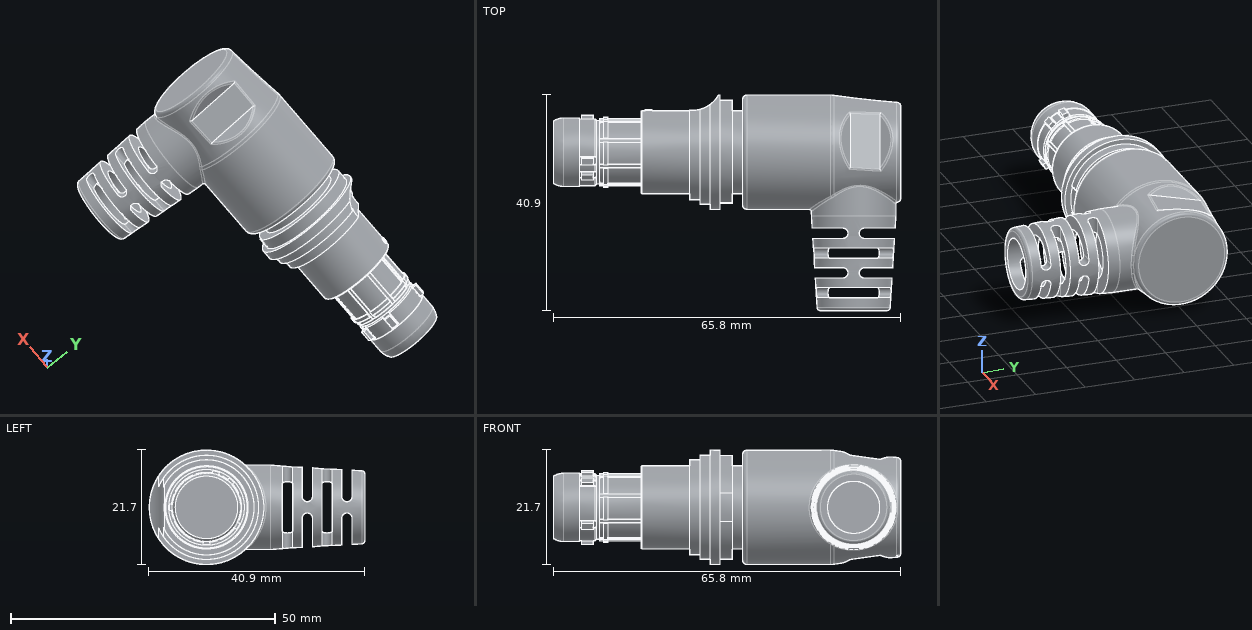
import cadquery as cq
import math


LENGTH = 65.8

NOSE_FACE_RADIUS = 5.9
NOSE_RADIUS = 6.5
NOSE_ROUND_END = 2.0
NOSE_ROUND_MIDDLE = (0.8, 6.3)
BAND_START = 4.95
BAND_END = 8.15
BAND_RADIUS = 6.4
BAND_CHAMFER = 0.25
NECK_GROOVE_END = 8.75
NECK_GROOVE_RADIUS = 6.05
RIB_START = 9.5
RIB_END = 10.3
RIB_RADIUS = 6.65
SHAFT_RADIUS = 6.4

COLLAR_START = 16.6
COLLAR_RADIUS = 7.9
COLLAR_MOUTH_RADIUS = 7.2
COLLAR_GAP_DEPTH = 0.65
COLLAR_CHAMFER = 0.2
FLANGE_STATIONS = [25.8, 27.8, 29.7, 31.6, 33.9]
FLANGE_RADII = [9.0, 9.9, 10.85, 9.9]
NECK_RADIUS = COLLAR_RADIUS

BODY_START = 35.8
BODY_RADIUS = 10.85
BODY_FRONT_ROUND = 0.9
SHOULDER_START = 52.5
TAPER_START = 53.15
TAPER_START_RADIUS = 10.8
TAPER_MIDDLE = 58.9
TAPER_MIDDLE_RADIUS = 10.1
TAIL_ROUND = 0.8
TAIL_RADIUS = 9.5

SLEEVE_X = 56.85
SLEEVE_RADIUS = 8.0
SLEEVE_ROOT_ROUND = 0.4
SLEEVE_END_RADIUS = 6.9
SLEEVE_TAPER_START = 12.1
SLEEVE_LENGTH = 30.0
SLEEVE_END_ROUND = 0.65
SLEEVE_BORE_RADIUS = 4.95
SLOT_WIDTH = 1.9
SLOT_PITCH = 3.75
FIRST_SLOT = 15.3
SLOT_COUNT = 4
SLOT_WEB = 2.2

LATCH_ANGLES = [0, 105, 133, 211, 270]
LATCH_START = 5.3
LATCH_LENGTH = 2.25
LATCH_WIDTH = 1.25
LATCH_TIP_RADIUS = 7.05
LATCH_POCKET_WIDTH = 1.6
LATCH_POCKET_FLOOR = 6.1
SHAFT_GROOVE_COUNT = 8
SHAFT_GROOVE_WIDTH = 0.7
FIRST_SHAFT_GROOVE_ANGLE = 24.5
SHAFT_GROOVE_FLOOR = 6.2

SCOOP_RADIUS = 5.65
SCOOP_X = 26.3
SCOOP_FLOOR = 7.95
KEYWAY_WIDTH = 5.4
KEYWAY_DEPTH = 0.2
DOT_X = 18.0
DOT_RADIUS = 0.65
DOT_HEIGHT = 0.165

RECESS_LEAN = 14.5
RECESS_X = 59.0
RECESS_FLOOR = 8.4
RECESS_FLOOR_LENGTH = 5.65
RECESS_FRONT_ANGLE = 55.0
RECESS_REAR_ANGLE = 47.0
RECESS_TILT = 8.5
RECESS_RIM_ROUND = 0.6

MARGIN = 3.3
OVERLAP = 0.65


def make_plug():
    """Revolve the stepped plug, its collar and flanges, and the body about the X axis."""
    profile = (
        cq.Workplane("XY")
        .moveTo(0, 0)
        .lineTo(0, NOSE_FACE_RADIUS)
        .threePointArc(NOSE_ROUND_MIDDLE, (NOSE_ROUND_END, NOSE_RADIUS))
        .lineTo(BAND_START, NOSE_RADIUS)
        .lineTo(BAND_START, BAND_RADIUS)
        .lineTo(BAND_END - BAND_CHAMFER, BAND_RADIUS)
        .lineTo(BAND_END, BAND_RADIUS - BAND_CHAMFER)
        .lineTo(BAND_END, NECK_GROOVE_RADIUS)
        .lineTo(NECK_GROOVE_END, NECK_GROOVE_RADIUS)
        .lineTo(NECK_GROOVE_END, SHAFT_RADIUS)
        .lineTo(RIB_START, SHAFT_RADIUS)
        .lineTo(RIB_START, RIB_RADIUS)
        .lineTo(RIB_END, RIB_RADIUS)
        .lineTo(RIB_END, SHAFT_RADIUS)
        .lineTo(COLLAR_START + COLLAR_GAP_DEPTH, SHAFT_RADIUS)
        .lineTo(COLLAR_START + COLLAR_GAP_DEPTH, COLLAR_MOUTH_RADIUS)
        .lineTo(COLLAR_START, COLLAR_MOUTH_RADIUS)
        .lineTo(COLLAR_START, COLLAR_RADIUS - COLLAR_CHAMFER)
        .lineTo(COLLAR_START + COLLAR_CHAMFER, COLLAR_RADIUS)
        .lineTo(FLANGE_STATIONS[0], COLLAR_RADIUS)
    )
    for start, end, radius in zip(FLANGE_STATIONS, FLANGE_STATIONS[1:], FLANGE_RADII):
        profile = profile.lineTo(start, radius).lineTo(end, radius)
    arc_offset = 1 - math.sqrt(0.5)
    profile = (
        profile.lineTo(FLANGE_STATIONS[-1], NECK_RADIUS)
        .lineTo(BODY_START, NECK_RADIUS)
        .lineTo(BODY_START, BODY_RADIUS - BODY_FRONT_ROUND)
        .threePointArc(
            (BODY_START + BODY_FRONT_ROUND * arc_offset, BODY_RADIUS - BODY_FRONT_ROUND * arc_offset),
            (BODY_START + BODY_FRONT_ROUND, BODY_RADIUS),
        )
        .lineTo(SHOULDER_START, BODY_RADIUS)
        .tangentArcPoint((TAPER_START, TAPER_START_RADIUS), relative=False)
        .threePointArc((TAPER_MIDDLE, TAPER_MIDDLE_RADIUS), (LENGTH - TAIL_ROUND, TAIL_RADIUS))
        .threePointArc(
            (LENGTH - TAIL_ROUND * arc_offset, TAIL_RADIUS - TAIL_ROUND * arc_offset),
            (LENGTH, TAIL_RADIUS - TAIL_ROUND),
        )
        .lineTo(LENGTH, 0)
        .close()
    )
    return profile.revolve(360, (0, 0, 0), (1, 0, 0))


def radial_block(x_start, length, width, inner_radius, outer_radius, angle):
    """Block standing on a radius; angle is measured from +Y toward +Z."""
    return (
        cq.Workplane("XY")
        .box(length, outer_radius - inner_radius, width, centered=(False, False, True))
        .translate((x_start, inner_radius, 0))
        .rotate((0, 0, 0), (1, 0, 0), angle)
    )


def add_nose_details(part):
    """Cut lengthwise shaft grooves, and set the latches in their pockets."""
    groove_length = COLLAR_START - NECK_GROOVE_END
    for i in range(SHAFT_GROOVE_COUNT):
        angle = FIRST_SHAFT_GROOVE_ANGLE + i * 360 / SHAFT_GROOVE_COUNT
        part = part.cut(
            radial_block(
                NECK_GROOVE_END, groove_length, SHAFT_GROOVE_WIDTH, SHAFT_GROOVE_FLOOR, COLLAR_RADIUS, angle
            )
        )
    for angle in LATCH_ANGLES:
        pocket = radial_block(
            BAND_START, BAND_END - BAND_START, LATCH_POCKET_WIDTH, LATCH_POCKET_FLOOR, COLLAR_RADIUS, angle
        )
        latch = radial_block(
            LATCH_START, LATCH_LENGTH, LATCH_WIDTH, LATCH_POCKET_FLOOR - OVERLAP, LATCH_TIP_RADIUS, angle
        )
        part = part.cut(pocket).union(latch)
    return part


def add_flange_details(part):
    """Scoop the +Y side of the flanges, key the last one and raise a dot on the collar."""
    scoop = (
        cq.Workplane("XY")
        .circle(SCOOP_RADIUS)
        .extrude(BODY_RADIUS, both=True)
        .translate((SCOOP_X, SCOOP_FLOOR + SCOOP_RADIUS, 0))
    )
    last_start, last_end = FLANGE_STATIONS[-2:]
    last_radius = FLANGE_RADII[-1]
    keyway = radial_block(
        last_start, last_end - last_start, KEYWAY_WIDTH, COLLAR_RADIUS, BODY_RADIUS, 180
    ).cut(cq.Workplane("YZ").circle(last_radius - KEYWAY_DEPTH).extrude(LENGTH))
    dot = (
        cq.Workplane("XZ")
        .center(DOT_X, 0)
        .circle(DOT_RADIUS)
        .extrude(-(COLLAR_RADIUS + DOT_HEIGHT))
    )
    return part.cut(scoop).cut(keyway).union(dot)


def make_sleeve():
    """Tapered sleeve from the body axis outward along -Y."""
    return (
        cq.Workplane("XY")
        .moveTo(0, 0)
        .lineTo(SLEEVE_RADIUS, 0)
        .lineTo(SLEEVE_RADIUS, -SLEEVE_TAPER_START)
        .lineTo(SLEEVE_END_RADIUS, -SLEEVE_LENGTH)
        .lineTo(0, -SLEEVE_LENGTH)
        .close()
        .revolve(360, (0, 0, 0), (0, 1, 0))
        .faces("<Y")
        .edges()
        .fillet(SLEEVE_END_ROUND)
        .translate((SLEEVE_X, 0, 0))
    )


def cut_sleeve(part):
    """Bore the sleeve and cut pairs of opposed slots, turned a quarter at each step."""
    bore = (
        cq.Workplane("XZ", origin=(SLEEVE_X, -SLEEVE_LENGTH, 0))
        .circle(SLEEVE_BORE_RADIUS)
        .extrude(-(SLEEVE_LENGTH - SLEEVE_TAPER_START))
    )
    part = part.cut(bore)
    slot_length = SLEEVE_RADIUS + MARGIN
    slot_middle = (SLOT_WEB + slot_length) / 2
    slot_pair = (
        cq.Workplane("XY")
        .pushPoints([(slot_middle, 0), (-slot_middle, 0)])
        .slot2D(slot_length, SLOT_WIDTH)
        .extrude(SLEEVE_RADIUS + MARGIN, both=True)
    )
    for i in range(SLOT_COUNT):
        slots = slot_pair.rotate((0, 0, 0), (0, 1, 0), 90 * (i % 2))
        part = part.cut(slots.translate((SLEEVE_X, -FIRST_SLOT - i * SLOT_PITCH, 0)))
    return part


def make_recess():
    """Trough across the top of the body: flat floor, sloping ends along X."""
    height = BODY_RADIUS - RECESS_FLOOR + MARGIN
    half_floor = RECESS_FLOOR_LENGTH / 2
    front_reach = half_floor + height * math.tan(math.radians(RECESS_FRONT_ANGLE))
    rear_reach = half_floor + height * math.tan(math.radians(RECESS_REAR_ANGLE))
    return (
        cq.Workplane("XZ")
        .moveTo(-half_floor, 0)
        .lineTo(half_floor, 0)
        .lineTo(rear_reach, height)
        .lineTo(-front_reach, height)
        .close()
        .extrude(BODY_RADIUS, both=True)
        .rotate((0, 0, 0), (0, 1, 0), RECESS_TILT)
        .translate((RECESS_X, 0, RECESS_FLOOR))
        .rotate((0, 0, 0), (1, 0, 0), -RECESS_LEAN)
    )


def add_recesses(part):
    """Cut matching recesses in the top and bottom of the body and round their rims."""
    recess = make_recess()
    part = part.cut(recess).cut(recess.mirror("XY"))
    for side in (1, -1):
        region = cq.selectors.BoxSelector(
            (TAPER_START, -BODY_RADIUS, side * SLEEVE_BORE_RADIUS),
            (LENGTH - TAIL_ROUND, BODY_RADIUS, side * BODY_RADIUS),
        )
        part = part.edges(region).edges("%BSPLINE").fillet(RECESS_RIM_ROUND)
    return part


def join_sleeve(part):
    """Join the sleeve to the body with a rounded root."""
    root = cq.selectors.BoxSelector(
        (SLEEVE_X - SLEEVE_RADIUS, -SLEEVE_TAPER_START, -SLEEVE_RADIUS),
        (SLEEVE_X + SLEEVE_RADIUS, -SLEEVE_BORE_RADIUS, SLEEVE_RADIUS),
    )
    return part.union(make_sleeve()).edges(root).edges("%BSPLINE").fillet(SLEEVE_ROOT_ROUND)


body = add_flange_details(add_nose_details(make_plug()))
body = add_recesses(body)
result = cut_sleeve(join_sleeve(body))